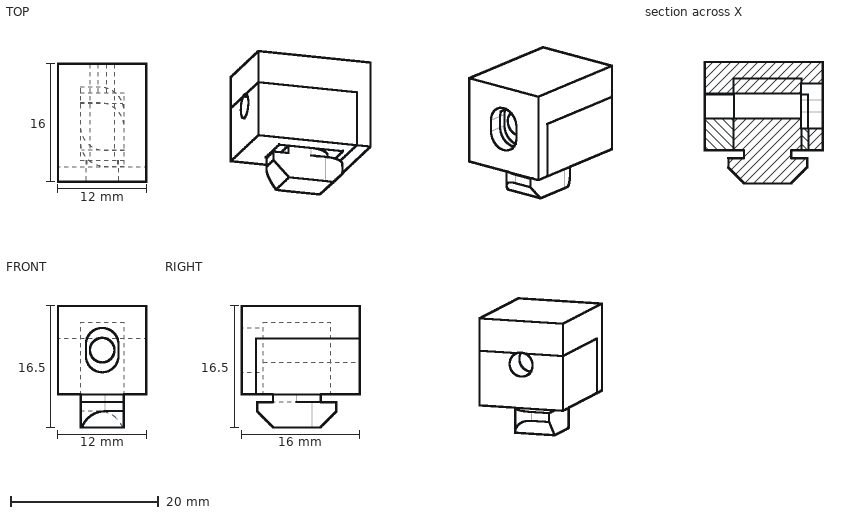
import cadquery as cq

TOTAL_HEIGHT = 16.5
HOUSING_WIDTH = 12.0
HOUSING_LENGTH = 16.0
HOUSING_HEIGHT = HOUSING_WIDTH
HOUSING_BOTTOM = TOTAL_HEIGHT - HOUSING_HEIGHT
HOUSING_FRONT = -HOUSING_LENGTH / 2

ROOF_THICKNESS = 4.45
WALL_THICKNESS = 1.98
BLOCK_LENGTH = HOUSING_LENGTH - WALL_THICKNESS
BLOCK_HEIGHT = HOUSING_HEIGHT - ROOF_THICKNESS

BORE_DIAMETER = 3.3
BORE_HEIGHT = HOUSING_BOTTOM + HOUSING_HEIGHT / 2
SLOT_WIDTH = 4.4
SLOT_HEIGHT = 6.0
SLOT_DEPTH = 2.92

NUT_WIDTH = 5.85
NUT_OFFSET_Y = -0.53
NUT_CORNER_RADIUS = BORE_DIAMETER
STEM_LENGTH = 6.5
STEM_HEIGHT = 1.05
HEAD_LENGTH = 10.75
HEAD_HEIGHT = HOUSING_BOTTOM - STEM_HEIGHT
HEAD_CHAMFER = 2.23

POST_LENGTH = 2 * (NUT_OFFSET_Y - HOUSING_FRONT - SLOT_DEPTH)
POST_OVERLAP = (NUT_WIDTH - SLOT_WIDTH) / 2
POST_TOP = BORE_HEIGHT + SLOT_HEIGHT / 2 + POST_OVERLAP
POST_HEIGHT = POST_TOP - HOUSING_BOTTOM


def make_bore():
    """Cutting shape shared by all bodies: front slot and round through bore."""
    front = cq.Workplane("XZ", origin=(0, HOUSING_FRONT, BORE_HEIGHT))
    slot = front.slot2D(SLOT_HEIGHT, SLOT_WIDTH, 90).extrude(-SLOT_DEPTH)
    bore = front.circle(BORE_DIAMETER / 2).extrude(-HOUSING_LENGTH)
    return slot.union(bore)


def make_block_blank():
    """Plain inner block, flush with the back and bottom of the housing."""
    return cq.Workplane("XY").box(HOUSING_WIDTH, BLOCK_LENGTH, BLOCK_HEIGHT).translate(
        (0, WALL_THICKNESS / 2, HOUSING_BOTTOM + BLOCK_HEIGHT / 2)
    )


def make_post_blank():
    """Solid post of the nut, also the shape of the pocket that holds it."""
    return (
        cq.Workplane("XY", origin=(0, NUT_OFFSET_Y, HOUSING_BOTTOM))
        .rect(NUT_WIDTH, POST_LENGTH)
        .extrude(POST_HEIGHT)
    )


def make_block():
    return make_block_blank().cut(make_post_blank()).cut(make_bore())


def make_cover():
    housing = cq.Workplane("XY").box(HOUSING_WIDTH, HOUSING_LENGTH, HOUSING_HEIGHT)
    housing = housing.translate((0, 0, BORE_HEIGHT))
    return housing.cut(make_block_blank()).cut(make_post_blank()).cut(make_bore())


def make_twist_prism(length, bottom, height):
    """Upright prism with two diagonally opposite corners rounded."""
    centre = (0, NUT_OFFSET_Y, bottom)
    half_width = NUT_WIDTH / 2
    half_length = length / 2
    radius = NUT_CORNER_RADIUS
    return (
        cq.Workplane("XY", origin=centre)
        .moveTo(half_width, -half_length)
        .lineTo(half_width, half_length - radius)
        .radiusArc((half_width - radius, half_length), -radius)
        .lineTo(-half_width, half_length)
        .lineTo(-half_width, -half_length + radius)
        .radiusArc((-half_width + radius, -half_length), -radius)
        .close()
        .extrude(height)
    )


def make_nut():
    stem = make_twist_prism(STEM_LENGTH, HEAD_HEIGHT, STEM_HEIGHT)
    head = make_twist_prism(HEAD_LENGTH, 0, HEAD_HEIGHT)
    half_length = HEAD_LENGTH / 2
    tapered_profile = (
        cq.Workplane("YZ", origin=(-NUT_WIDTH / 2, NUT_OFFSET_Y, 0))
        .moveTo(-half_length, HEAD_HEIGHT)
        .lineTo(-half_length, HEAD_CHAMFER)
        .lineTo(-half_length + HEAD_CHAMFER, 0)
        .lineTo(half_length - HEAD_CHAMFER, 0)
        .lineTo(half_length, HEAD_CHAMFER)
        .lineTo(half_length, HEAD_HEIGHT)
        .close()
        .extrude(NUT_WIDTH)
    )
    post = make_post_blank().cut(make_bore())
    return head.intersect(tapered_profile).union(stem).union(post)


cover = make_cover()
block = make_block()
nut = make_nut()

result = cq.Compound.makeCompound([*cover.solids().vals(), *block.solids().vals(), *nut.solids().vals()])